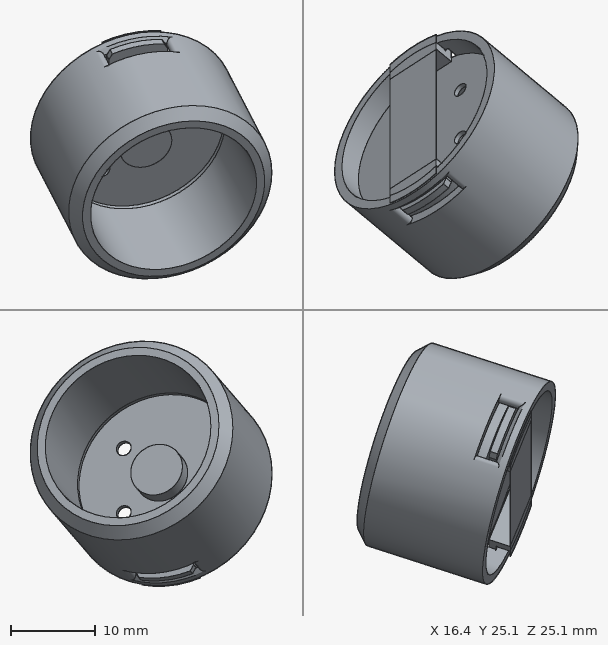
import cadquery as cq
import math

outer_radius = 25.1 / 2
housing_length = 16.2
rear_chamfer = 1.3
mouth_bore_radius = 22.75 / 2
rear_bore_radius = 20.5 / 2

window_front = 1.43
window_rear = 3.95
shoulder_x = window_rear
window_width = 7.65
window_chamfer = 0.55

cup_radius = 22.55 / 2
cup_front = 2.8
cup_rear = shoulder_x
cup_floor = 0.6
post_radius = 6.4 / 2
post_rear = 5.4
wire_hole_diameter = 1.8
wire_hole_y = -4.72
wire_hole_spacing = 8.2

clip_width = 7.25
strip_front = -0.25
strip_thickness = 0.05
leg_inner_z = 9.5
leg_radius = cup_radius
hook_front = 1.54
hook_rear = 2.45
hook_radius = outer_radius
hook_chamfer_y = 0.43
hook_chamfer_z = 0.74


def cylinder(radius, start, end):
    """Solid cylinder on the X axis from x = start to x = end."""
    return cq.Workplane("YZ").workplane(offset=start).circle(radius).extrude(end - start)


def box(start, end, width, bottom, top):
    """Block centred on y = 0 between the given x and z limits."""
    return (
        cq.Workplane("XY")
        .box(end - start, width, top - bottom, centered=(False, True, False))
        .translate((start, 0, bottom))
    )


def half_turn(body):
    """The body turned half a turn about X, from the +Z side to the -Z side."""
    return body.rotate((0, 0, 0), (1, 0, 0), 180)


def make_window():
    """Cutter for the +Z window: full-round wall ends at its sides and a chamfer on its front edge."""
    end_radius = (outer_radius - mouth_bore_radius) / 2
    middle_radius = (outer_radius + mouth_bore_radius) / 2
    end_angle = math.asin((window_width / 2 + end_radius) / middle_radius)
    sine = math.sin(end_angle)
    cosine = math.cos(end_angle)
    inner_y = mouth_bore_radius * sine
    inner_z = mouth_bore_radius * cosine
    outer_y = outer_radius * sine
    outer_z = outer_radius * cosine
    middle_y = middle_radius * sine - end_radius * cosine
    middle_z = middle_radius * cosine + end_radius * sine
    start = window_front - window_chamfer
    rounded = (
        cq.Workplane("YZ")
        .workplane(offset=start)
        .moveTo(-inner_y, 0)
        .lineTo(inner_y, 0)
        .lineTo(inner_y, inner_z)
        .threePointArc((middle_y, middle_z), (outer_y, outer_z))
        .lineTo(outer_y, outer_radius)
        .lineTo(-outer_y, outer_radius)
        .lineTo(-outer_y, outer_z)
        .threePointArc((-middle_y, middle_z), (-inner_y, inner_z))
        .close()
        .extrude(window_rear - start)
    )
    chamfered = (
        cq.Workplane("XY")
        .moveTo(window_front, 0)
        .lineTo(window_rear, 0)
        .lineTo(window_rear, outer_radius)
        .lineTo(start, outer_radius)
        .lineTo(window_front, outer_radius - window_chamfer)
        .close()
        .revolve(360, (0, 0, 0), (1, 0, 0))
    )
    return rounded.intersect(chamfered)


def make_housing():
    """Tube with a stepped bore, a bevelled rear rim and two snap windows."""
    housing = cylinder(outer_radius, 0, housing_length).faces(">X").chamfer(rear_chamfer)
    housing = housing.cut(cylinder(mouth_bore_radius, 0, shoulder_x))
    housing = housing.cut(cylinder(rear_bore_radius, shoulder_x, housing_length))
    window = make_window()
    return housing.cut(window).cut(half_turn(window))


def make_cup():
    """Cup open to the rear, with a central post and two wire holes through its floor."""
    cup = cylinder(cup_radius, cup_front, cup_rear)
    cup = cup.cut(cylinder(rear_bore_radius, cup_front + cup_floor, cup_rear))
    holes = (
        cq.Workplane("YZ")
        .workplane(offset=cup_front)
        .center(wire_hole_y, 0)
        .rarray(1, wire_hole_spacing, 1, 2)
        .circle(wire_hole_diameter / 2)
        .extrude(cup_floor)
    )
    post = cylinder(post_radius, cup_front + cup_floor, post_rear)
    return cup.cut(holes).union(post)


def make_clip():
    """Strip across the mouth whose two legs end in hooks that reach into the windows."""
    strip_rear = strip_front + strip_thickness
    strip = box(strip_front, strip_rear, clip_width, -outer_radius, outer_radius)
    clip = strip.intersect(cylinder(outer_radius, strip_front, strip_rear))

    leg = box(strip_rear, hook_rear, clip_width, leg_inner_z, outer_radius)
    leg = leg.intersect(cylinder(leg_radius, strip_rear, hook_rear))
    half_width = clip_width / 2
    shoulder_y = half_width - hook_chamfer_y
    shoulder_z = math.sqrt(hook_radius**2 - shoulder_y**2)
    hook = (
        cq.Workplane("YZ")
        .workplane(offset=hook_front)
        .moveTo(-half_width, leg_inner_z)
        .lineTo(half_width, leg_inner_z)
        .lineTo(half_width, shoulder_z - hook_chamfer_z)
        .lineTo(shoulder_y, shoulder_z)
        .threePointArc((0, hook_radius), (-shoulder_y, shoulder_z))
        .lineTo(-half_width, shoulder_z - hook_chamfer_z)
        .close()
        .extrude(hook_rear - hook_front)
    )
    leg = leg.union(hook)
    return clip.union(leg).union(half_turn(leg))


housing = make_housing()
cup = make_cup()
clip = make_clip()

result = cq.Compound.makeCompound([housing.val(), cup.val(), clip.val()])